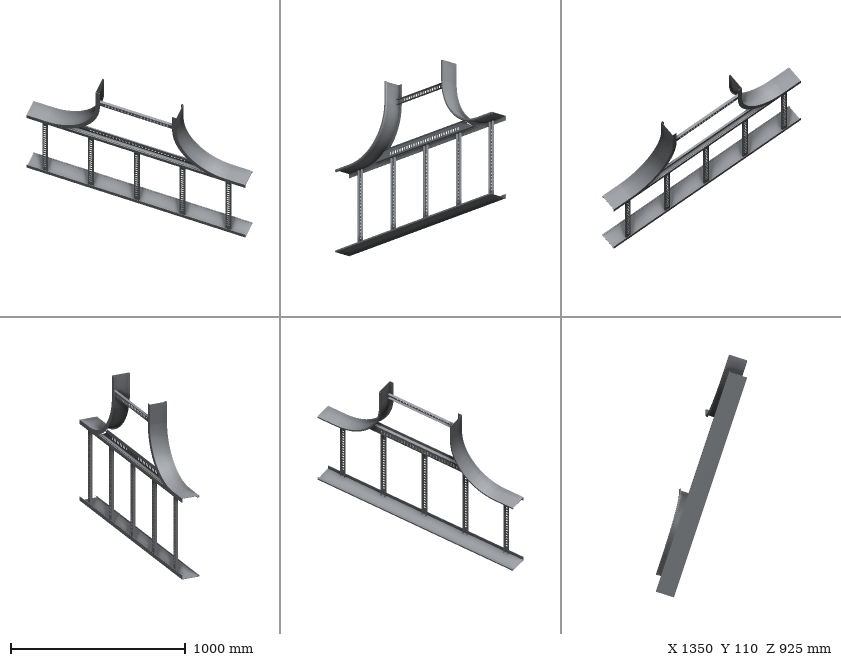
import cadquery as cq
import math

overall_length = 1350.0
rail_depth = 110.0
branch_length = 125.0
bend_radius = 300.0
main_height = 500.0
sheet = 2.0

upper_flange = 27.0
lower_flange = 25.0
lip_height = 10.0
hook_rise = 4.0
hook_reach = 10.0

rung_width = 30.0
rung_depth = 16.0
rung_front = 5.0
rung_pitch = 282.0
rung_count = 5
top_rung_rise = 5.0
rung_gap = 5.0

slot_length = 18.0
slot_width = 10.0
rung_slots = 20
rung_slot_span = 380.0
brace_slots = 30

brace_top = 564.0
brace_wall_top = 544.0
brace_depth = 20.0
brace_step = 4.0
brace_slot_height = 517.0

half_length = overall_length / 2
bend_x = half_length - branch_length
bend_z = main_height + bend_radius
branch_half_width = bend_x - bend_radius
flange_radius = bend_radius + upper_flange
web_underside = main_height - sheet
top_rung_z = bend_z + top_rung_rise + rung_width / 2
slot_pitch = rung_slot_span / (rung_slots - 1)


def rail_section(flange):
    """Rail cross-section: local x is the depth, local y runs from the web toward the flange edge."""
    hook_edge = lip_height + hook_rise
    return [
        (0, 0),
        (rail_depth, 0),
        (rail_depth, lip_height),
        (rail_depth - hook_reach, hook_edge),
        (rail_depth - hook_reach, hook_edge - sheet),
        (rail_depth - sheet, lip_height - sheet),
        (rail_depth - sheet, sheet),
        (sheet, sheet),
        (sheet, flange),
        (0, flange),
    ]


def make_straight_rail():
    section = cq.Workplane("YZ").polyline(rail_section(lower_flange)).close()
    return section.extrude(overall_length).translate((-half_length, 0, 0))


def make_curved_rail():
    """Left rail: straight foot, quarter bend and straight upright."""
    foot_section = [(y, main_height - out) for y, out in rail_section(upper_flange)]
    upright_section = [(out - branch_half_width, y) for y, out in rail_section(upper_flange)]

    foot = cq.Workplane("YZ", origin=(-half_length, 0, 0)).polyline(foot_section).close()
    foot = foot.extrude(branch_length)
    bend = cq.Workplane("XY", origin=(0, 0, bend_z)).polyline(upright_section).close()
    bend = bend.revolve(90, (-bend_x, 0), (-bend_x, 1))
    upright = cq.Workplane("XY", origin=(0, 0, bend_z)).polyline(upright_section).close()
    upright = upright.extrude(branch_length)
    return foot.union(bend).union(upright)


def make_rung(length):
    """Channel along X, open to the back, centred on the origin with its slotted face at rung_front."""
    rung = cq.Workplane("XY").box(length, rung_depth, rung_width, centered=(True, False, True))
    hollow = cq.Workplane("XY").box(
        length, rung_depth, rung_width - 2 * sheet, centered=(True, False, True)
    )
    rung = rung.cut(hollow.translate((0, sheet, 0)))
    return rung.cut(slot_row(rung_slots, 0)).translate((0, rung_front, 0))


def slot_row(count, front):
    """Cutters for one row of slots along X, passing through a sheet whose front is at y = front."""
    return (
        cq.Workplane("XZ", origin=(0, front + sheet, 0))
        .rarray(slot_pitch, 14, count, 1)
        .rect(slot_width, slot_length)
        .extrude(sheet)
    )


def strip_between_bends(z_low, z_high, front, depth):
    """Strip along X from y = front, its ends following the flange edges of both bends."""

    def end_x(z):
        return bend_x - math.sqrt(max(flange_radius**2 - (bend_z - z) ** 2, 0))

    z_mid = (z_low + z_high) / 2
    return (
        cq.Workplane("XZ", origin=(0, front + depth, 0))
        .moveTo(-end_x(z_low), z_low)
        .threePointArc((-end_x(z_mid), z_mid), (-end_x(z_high), z_high))
        .lineTo(end_x(z_high), z_high)
        .threePointArc((end_x(z_mid), z_mid), (end_x(z_low), z_low))
        .close()
        .extrude(depth)
    )


def make_brace():
    """Hat section between the bends: channel open to the front, with a lip above and below."""
    panel_front = rung_front + brace_depth - sheet
    lip_top = main_height - brace_step
    lip_bottom = main_height - upper_flange
    roof_underside = brace_wall_top - sheet
    strips = [
        (lip_bottom, lip_top, 0, sheet),
        (lip_top - sheet, lip_top, 0, rung_front + sheet),
        (lip_top - sheet, main_height, rung_front, sheet),
        (web_underside, main_height, rung_front, brace_depth),
        (web_underside, brace_wall_top, panel_front, sheet),
        (roof_underside, brace_wall_top, rung_front, brace_depth),
        (roof_underside, brace_top, rung_front, sheet),
    ]
    brace = cq.Workplane()
    for z_low, z_high, front, depth in strips:
        brace = brace.add(strip_between_bends(z_low, z_high, front, depth))
    brace = brace.combine()
    slots = slot_row(brace_slots, panel_front).translate((0, 0, brace_slot_height))
    return brace.cut(slots)


straight_rail = make_straight_rail()
left_rail = make_curved_rail()
right_rail = left_rail.mirror("YZ")
brace = make_brace()

top_rung = make_rung(2 * (branch_half_width - sheet)).translate((0, 0, top_rung_z))

upright_rung = make_rung(main_height - 2 * (sheet + rung_gap)).rotate((0, 0, 0), (0, 1, 0), 90)
upright_rungs = []
for i in range(rung_count):
    rung_x = (i - (rung_count - 1) / 2) * rung_pitch
    upright_rungs.append(upright_rung.translate((rung_x, 0, main_height / 2)))

result = cq.Compound.makeCompound(
    [
        straight_rail.val(),
        left_rail.val(),
        right_rail.val(),
        brace.val(),
        top_rung.val(),
        *[rung.val() for rung in upright_rungs],
    ]
)